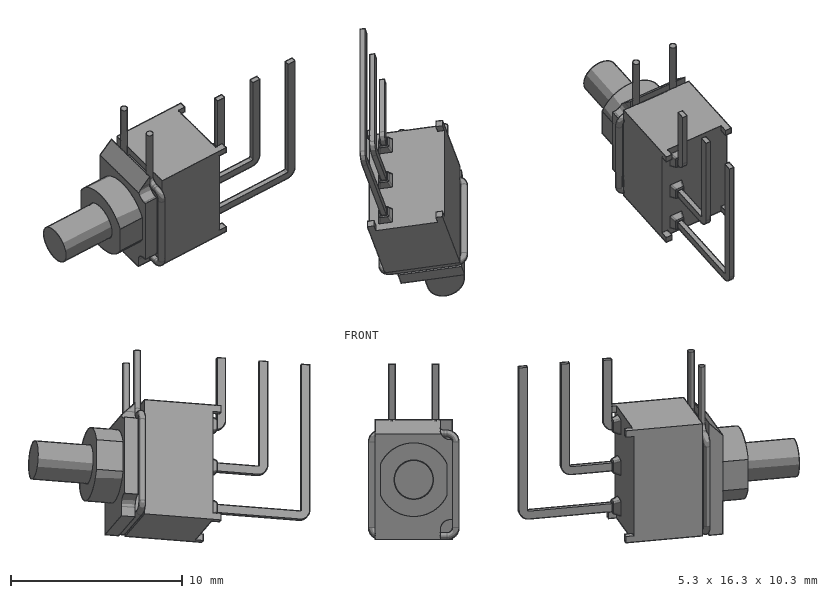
import cadquery as cq


HOUSING_WIDTH = 4.5
HOUSING_HEIGHT = 7.0
PLATE_THICKNESS = 0.83
WIRE_DIAMETER = 0.4
WIRE_GRIP = 0.005
SLOT_WIDTH = WIRE_DIAMETER - 2 * WIRE_GRIP
HOUSING_DEPTH = 5.84
POST_SIZE = 0.4
POST_LENGTH = 0.48
CORE_WIDTH = 2.0
CORE_TOP = 3.0
CORE_BOTTOM = -3.0
NOTCH_WIDTH = 0.7
NOTCH_INNER_Z = 2.33
NOTCH_RADIUS = 0.59

BUSHING_DIAMETER = 4.3
BUSHING_LENGTH = 1.6
BUSHING_ACROSS_FLATS = 3.9
BORE_DIAMETER = 2.3
PLUNGER_DIAMETER = 2.25
PLUNGER_LENGTH = 4.9

PITCH = 2.54
TERMINAL_X = PITCH / 2
TERMINAL_WIDTH = 0.3
TERMINAL_THICKNESS = 0.5
TERMINAL_TOP = 6.7
TERMINAL_REAR = 11.41
BEND_INNER_RADIUS = 0.1
BEND_OUTER_RADIUS = BEND_INNER_RADIUS + TERMINAL_THICKNESS

BOSS_LENGTH = 0.45
BOSS_BASE_WIDTH = 0.84
BOSS_BASE_HEIGHT = 1.0
BOSS_INSET = 0.15
BOSS_CORNER_RADIUS = 0.1
BOSS_TIP_CHAMFER = 0.06

WIRE_BEND_RADIUS = 0.5
WIRE_PIN_X = PITCH / 2
WIRE_SIDE_X = 2.45
WIRE_TOP = 6.75
WIRE_SHOULDER_Z = 2.69
WIRE_BOTTOM_Z = -3.29

SLOT_REAR = PLATE_THICKNESS + SLOT_WIDTH
RECESS_FLOOR = HOUSING_DEPTH - POST_LENGTH
HALF_WIDTH = HOUSING_WIDTH / 2
HALF_HEIGHT = HOUSING_HEIGHT / 2


def box(x_range, y_range, z_range):
    """Axis-aligned box between the given limits."""
    size = [high - low for low, high in (x_range, y_range, z_range)]
    corner = (x_range[0], y_range[0], z_range[0])
    return cq.Workplane("XY").box(*size, centered=False).translate(corner)


def xz_plane(y):
    """Sketch plane at depth y with local X = X, local Y = Z and normal -Y."""
    return cq.Workplane("XZ", origin=(0, y, 0))


def make_front_plate():
    """Plate with its upper front edge beveled and two notched +X corners."""
    plate = (
        cq.Workplane("YZ")
        .moveTo(0, -HALF_HEIGHT)
        .lineTo(PLATE_THICKNESS, -HALF_HEIGHT)
        .lineTo(PLATE_THICKNESS, HALF_HEIGHT)
        .lineTo(0, HALF_HEIGHT - PLATE_THICKNESS)
        .close()
        .extrude(HALF_WIDTH, both=True)
    )
    notch_edges = (HALF_WIDTH - NOTCH_WIDTH, HALF_WIDTH + NOTCH_WIDTH)
    for side in (-1, 1):
        z_limits = sorted((side * NOTCH_INNER_Z, side * HOUSING_HEIGHT))
        notch = box(notch_edges, (-PLATE_THICKNESS, PLATE_THICKNESS), z_limits)
        inner_corner = notch.edges("|Y").edges("<X")
        inner_corner = inner_corner.edges("<Z" if side > 0 else ">Z")
        plate = plate.cut(inner_corner.fillet(NOTCH_RADIUS))
    return plate


def make_body():
    """Main block with four rear posts and the core that carries the plate."""
    body = box(
        (-HALF_WIDTH, HALF_WIDTH),
        (SLOT_REAR, RECESS_FLOOR),
        (-HALF_HEIGHT, HALF_HEIGHT),
    )
    core_half = CORE_WIDTH / 2
    core = box((-core_half, core_half), (PLATE_THICKNESS, SLOT_REAR), (CORE_BOTTOM, CORE_TOP))
    posts = (
        xz_plane(HOUSING_DEPTH)
        .rect(HOUSING_WIDTH - POST_SIZE, HOUSING_HEIGHT - POST_SIZE, forConstruction=True)
        .vertices()
        .rect(POST_SIZE, POST_SIZE)
        .extrude(HOUSING_DEPTH - SLOT_REAR)
    )
    return body.union(core).union(posts)


def make_bushing():
    """Round bushing with two side flats and a clearance bore."""
    bushing = xz_plane(0).circle(BUSHING_DIAMETER / 2).extrude(BUSHING_LENGTH)
    flats = xz_plane(0).rect(BUSHING_ACROSS_FLATS, BUSHING_DIAMETER).extrude(BUSHING_LENGTH)
    bore = xz_plane(0).circle(BORE_DIAMETER / 2).extrude(BUSHING_LENGTH)
    return bushing.intersect(flats).cut(bore)


def make_plunger():
    return xz_plane(0).circle(PLUNGER_DIAMETER / 2).extrude(PLUNGER_LENGTH)


def make_terminal(rear, z):
    """L-shaped flat terminal leaving the housing at height z and turning up."""
    half = TERMINAL_THICKNESS / 2
    inner = rear - TERMINAL_THICKNESS
    return (
        cq.Workplane("YZ", origin=(TERMINAL_X, 0, 0))
        .moveTo(RECESS_FLOOR, z - half)
        .lineTo(rear - BEND_OUTER_RADIUS, z - half)
        .radiusArc((rear, z - half + BEND_OUTER_RADIUS), -BEND_OUTER_RADIUS)
        .lineTo(rear, TERMINAL_TOP)
        .lineTo(inner, TERMINAL_TOP)
        .lineTo(inner, z + half + BEND_INNER_RADIUS)
        .radiusArc((inner - BEND_INNER_RADIUS, z + half), BEND_INNER_RADIUS)
        .lineTo(RECESS_FLOOR, z + half)
        .close()
        .extrude(TERMINAL_WIDTH / 2, both=True)
    )


def make_boss(z):
    """Tapered rectangular boss standing on the recess floor."""
    boss = (
        cq.Workplane("XZ", origin=(TERMINAL_X, RECESS_FLOOR, z))
        .rect(BOSS_BASE_WIDTH, BOSS_BASE_HEIGHT)
        .workplane(offset=-BOSS_LENGTH)
        .rect(BOSS_BASE_WIDTH - 2 * BOSS_INSET, BOSS_BASE_HEIGHT - 2 * BOSS_INSET)
        .loft()
    )
    boss = boss.edges("not(#Y)").fillet(BOSS_CORNER_RADIUS)
    return boss.faces(">Y").chamfer(BOSS_TIP_CHAMFER)


def make_wire():
    """Round wire bracket: two pins, shouldered sides and a closed bottom."""
    r = WIRE_BEND_RADIUS
    knee_x = WIRE_PIN_X + r
    side_x = WIRE_SIDE_X - r
    path = (
        xz_plane(PLATE_THICKNESS + SLOT_WIDTH / 2)
        .moveTo(-WIRE_PIN_X, WIRE_TOP)
        .lineTo(-WIRE_PIN_X, WIRE_SHOULDER_Z + r)
        .radiusArc((-knee_x, WIRE_SHOULDER_Z), r)
        .lineTo(-side_x, WIRE_SHOULDER_Z)
        .radiusArc((-WIRE_SIDE_X, WIRE_SHOULDER_Z - r), -r)
        .lineTo(-WIRE_SIDE_X, WIRE_BOTTOM_Z + r)
        .radiusArc((-side_x, WIRE_BOTTOM_Z), -r)
        .lineTo(side_x, WIRE_BOTTOM_Z)
        .radiusArc((WIRE_SIDE_X, WIRE_BOTTOM_Z + r), -r)
        .lineTo(WIRE_SIDE_X, WIRE_SHOULDER_Z - r)
        .radiusArc((side_x, WIRE_SHOULDER_Z), -r)
        .lineTo(knee_x, WIRE_SHOULDER_Z)
        .radiusArc((WIRE_PIN_X, WIRE_SHOULDER_Z + r), r)
        .lineTo(WIRE_PIN_X, WIRE_TOP)
    )
    start = (-WIRE_PIN_X, PLATE_THICKNESS + SLOT_WIDTH / 2, WIRE_TOP)
    return cq.Workplane("XY", origin=start).circle(WIRE_DIAMETER / 2).sweep(path)


result = make_body().union(make_front_plate()).union(make_wire())
result = result.union(make_bushing()).union(make_plunger())
for row in (-1, 0, 1):
    row_z = row * PITCH
    terminal_rear = TERMINAL_REAR - (row + 1) * PITCH
    result = result.union(make_boss(row_z)).union(make_terminal(terminal_rear, row_z))